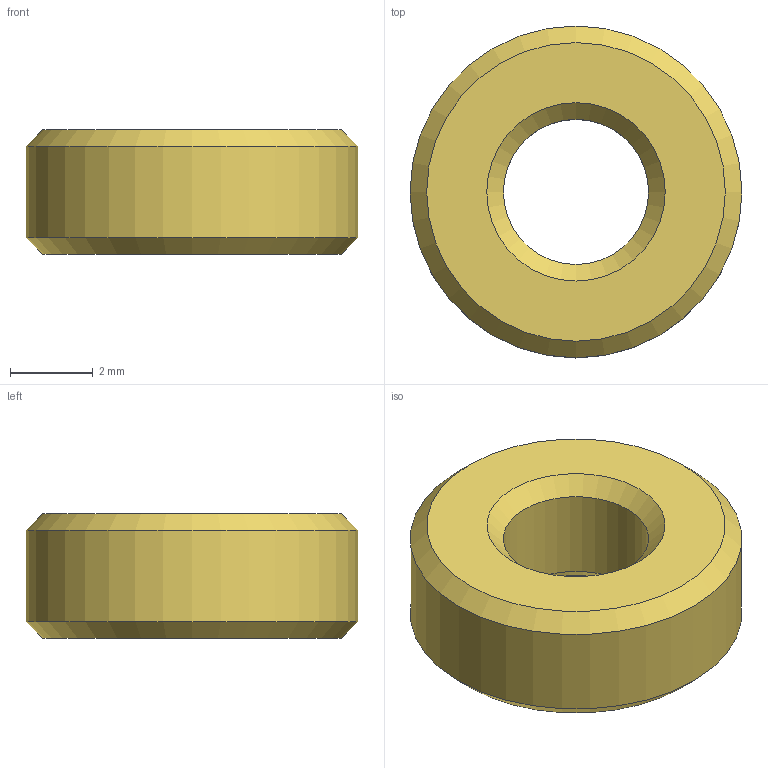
import cadquery as cq

outer_diameter = 8.0
bore_diameter = 3.5
height = 3.0
edge_chamfer = 0.4

ring = cq.Workplane("XY").circle(outer_diameter / 2).circle(bore_diameter / 2).extrude(height)

end_faces = ring.faces("<Z or >Z")
result = end_faces.edges().chamfer(edge_chamfer)